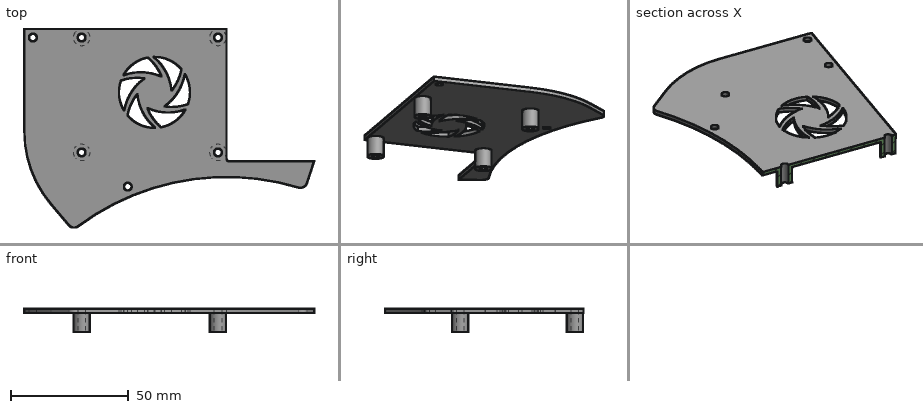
import cadquery as cq
import math

plate_thickness = 2.0
body_width = 86.1
total_length = 123.4
handle_top_y = -56.3
inner_corner_radius = 1.0

lower_arc_radius = 105.6
lower_arc_top_y = -63.1
lower_arc_center = (body_width, lower_arc_top_y - lower_arc_radius)

left_arc_start_y = -43.7
left_arc_radius = 47.8
left_arc_sweep = math.radians(40.3)
bottom_corner_radius = 3.0
handle_corner_radius = 3.0

hole_diameter = 3.2
standoff_diameter = 7.0
standoff_height = 8.0
edge_margin = 3.7
standoff_left_x = 24.4
standoff_right_x = body_width - edge_margin
standoff_lower_y = -52.6
standoff_points = [
    (x, y) for x in (standoff_left_x, standoff_right_x) for y in (-edge_margin, standoff_lower_y)
]
plain_hole_points = [(edge_margin, -edge_margin), (44.0, -67.1)]

fan_center = (55.4, -27.0)
fan_radius = 15.0
spoke_count = 6
spoke_edge_radius = 21.1
spoke_outer_edge_center = (-5.8, -12.5)
spoke_inner_edge_center = (-7.3, -14.9)


def left_arc_point(angle):
    """Point on the left arc, at an angle swept from its vertical start."""
    return (
        left_arc_radius * (1 - math.cos(angle)),
        left_arc_start_y - left_arc_radius * math.sin(angle),
    )


def lower_arc_point(angle):
    """Point on the lower arc, at an angle to the right of its top."""
    return (
        lower_arc_center[0] + lower_arc_radius * math.sin(angle),
        lower_arc_center[1] + lower_arc_radius * math.cos(angle),
    )


def slanted_line_meets_lower_arc():
    """Angle on the lower arc where the slanted left line reaches it."""
    start_x, start_y = left_arc_point(left_arc_sweep)
    direction = (math.sin(left_arc_sweep), -math.cos(left_arc_sweep))
    to_center = (lower_arc_center[0] - start_x, lower_arc_center[1] - start_y)
    along = to_center[0] * direction[0] + to_center[1] * direction[1]
    across = to_center[0] * direction[1] - to_center[1] * direction[0]
    travel = along - math.sqrt(lower_arc_radius**2 - across**2)
    meeting_x = start_x + travel * direction[0]
    return math.asin((meeting_x - lower_arc_center[0]) / lower_arc_radius)


def round_corner(body, point, radius):
    """Round the vertical plate edge at a corner of the outline."""
    corner = cq.Vector(point[0], point[1], plate_thickness / 2)
    return body.edges("|Z").edges(cq.NearestToPointSelector(corner.toTuple())).fillet(radius)


def make_plate():
    handle_angle = math.atan2(total_length - lower_arc_center[0], handle_top_y - lower_arc_center[1])
    bottom_angle = slanted_line_meets_lower_arc()
    handle_corner = lower_arc_point(handle_angle)
    bottom_corner = lower_arc_point(bottom_angle)
    inner_corner = (body_width, handle_top_y)
    plate = (
        cq.Workplane("XY")
        .lineTo(body_width, 0)
        .lineTo(*inner_corner)
        .lineTo(total_length, handle_top_y)
        .lineTo(*handle_corner)
        .threePointArc(lower_arc_point((handle_angle + bottom_angle) / 2), bottom_corner)
        .lineTo(*left_arc_point(left_arc_sweep))
        .threePointArc(left_arc_point(left_arc_sweep / 2), (0, left_arc_start_y))
        .close()
        .extrude(plate_thickness)
    )
    plate = round_corner(plate, inner_corner, inner_corner_radius)
    plate = round_corner(plate, handle_corner, handle_corner_radius)
    return round_corner(plate, bottom_corner, bottom_corner_radius)


def disc(center, radius):
    """Disc as thick as the plate."""
    return cq.Workplane("XY").center(*center).circle(radius).extrude(plate_thickness)


def make_fan_window():
    """One window about the origin, between two neighbouring spokes."""
    lower_spoke = disc(spoke_outer_edge_center, spoke_edge_radius)
    upper_spoke = disc(spoke_inner_edge_center, spoke_edge_radius)
    upper_spoke = upper_spoke.rotate((0, 0, 0), (0, 0, 1), -360 / spoke_count)
    return disc((0, 0), fan_radius).intersect(upper_spoke).cut(lower_spoke)


def cut_fan_opening(body):
    window = make_fan_window()
    for index in range(spoke_count):
        turned = window.rotate((0, 0, 0), (0, 0, 1), index * 360 / spoke_count)
        body = body.cut(turned.translate((*fan_center, 0)))
    return body


def add_standoffs(body):
    standoffs = (
        cq.Workplane("XY")
        .pushPoints(standoff_points)
        .circle(standoff_diameter / 2)
        .extrude(-standoff_height)
    )
    return body.union(standoffs)


def drill_holes(body):
    drills = (
        cq.Workplane("XY", origin=(0, 0, -standoff_height))
        .pushPoints(standoff_points + plain_hole_points)
        .circle(hole_diameter / 2)
        .extrude(standoff_height + plate_thickness)
    )
    return body.cut(drills)


result = drill_holes(add_standoffs(cut_fan_opening(make_plate())))